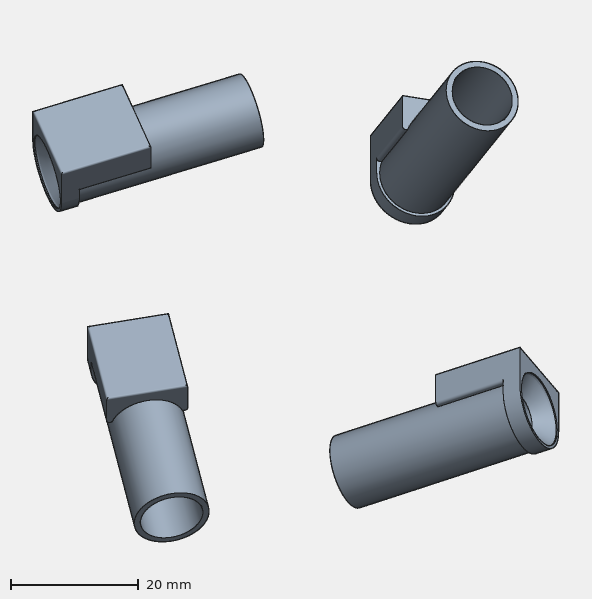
import cadquery as cq

length = 34.0
tube_radius = 6.0
mouth_radius = 5.8
throat_radius = 3.3
rear_bore_radius = 5.0
front_recess = 0.2
lip_end = 0.5
throat_length = 1.95
cone_depth = mouth_radius - throat_radius
throat_start = lip_end + cone_depth
throat_end = throat_start + throat_length

head_width = 13.0
head_length = 15.0
head_top = 8.0
collar_length = 3.0
collar_radius = head_width / 2
skirt_bottom = 2.0
skirt_edge_radius = 0.48
top_edge_radius = 0.3


def make_tube():
    """Revolve the wall section, drawn as (radius, Y), around the Y axis."""
    return (
        cq.Workplane("XY")
        .moveTo(tube_radius, front_recess)
        .lineTo(mouth_radius, lip_end)
        .lineTo(throat_radius, throat_start)
        .lineTo(throat_radius, throat_end)
        .lineTo(rear_bore_radius, throat_end)
        .lineTo(rear_bore_radius, length)
        .lineTo(tube_radius, length)
        .close()
        .revolve(360, (0, 0, 0), (0, 1, 0))
    )


def make_block():
    """Rounded block that rests on the upper part of the tube."""
    block = cq.Workplane("XY").box(
        head_width, head_length, head_top - skirt_bottom, centered=(True, False, False)
    ).translate((0, 0, skirt_bottom))
    block = block.faces("<Z").edges("|Y").fillet(skirt_edge_radius)
    return block.faces(">Z").edges().fillet(top_edge_radius)


def make_collar():
    """Front ring with straight sides that run up into the block."""
    straight_top = head_top - 2 * top_edge_radius
    return (
        cq.Workplane("XZ")
        .moveTo(-collar_radius, straight_top)
        .lineTo(-collar_radius, 0)
        .threePointArc((0, -collar_radius), (collar_radius, 0))
        .lineTo(collar_radius, straight_top)
        .close()
        .extrude(-collar_length)
    )


def make_head():
    """Join block and collar, then bore the seat that holds the tube."""
    seat = cq.Workplane("XZ").circle(tube_radius).extrude(-head_length)
    return make_block().union(make_collar()).cut(seat)


tube = make_tube()
head = make_head()

result = cq.Compound.makeCompound([tube.val(), head.val()])